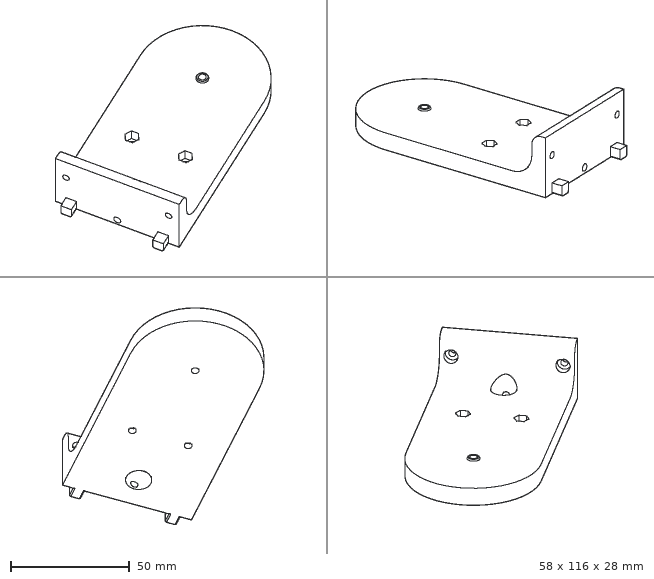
import cadquery as cq

width = 58.0
total_length = 116.0
height = 28.0
base_thickness = 8.0
wall_thickness = 7.0
inner_radius = 10.0
top_radius = 5.0

peg_size = 5.0
peg_inset = 5.0
peg_overlap = 1.2
peg_chamfer = 0.6

small_hole = 3.0
screw_hole = 3.2
cable_hole = 11.0
cable_hole_setback = 14.0
mount_inset = 5.0
mount_height = 18.0
mount_recess = 6.0
mount_recess_depth = 3.0
cable_entry_height = 2.8

nut_across_corners = 6.5
nut_depth = 5.0
nut_setback = 40.0
nut_offset = 12.5

ring_base_diameter = 5.5
ring_top_diameter = 4.8
ring_height = 0.7

body_length = total_length - peg_size
round_radius = width / 2
round_center_y = body_length - round_radius
mount_offset = width / 2 - mount_inset
peg_offset = width / 2 - peg_inset - peg_size / 2


def make_base():
    straight = cq.Workplane("XY").rect(width, round_center_y).extrude(base_thickness)
    straight = straight.translate((0, round_center_y / 2, 0))
    round_end = cq.Workplane("XY").center(0, round_center_y).circle(round_radius).extrude(base_thickness)
    return straight.union(round_end)


def make_wall():
    """Wall profile in the YZ plane with a rounded top and a concave foot."""
    foot_y = wall_thickness + inner_radius
    profile = (
        cq.Workplane("YZ", origin=(-width / 2, 0, 0))
        .lineTo(0, height)
        .lineTo(wall_thickness - top_radius, height)
        .radiusArc((wall_thickness, height - top_radius), top_radius)
        .lineTo(wall_thickness, base_thickness + inner_radius)
        .radiusArc((foot_y, base_thickness), -inner_radius)
        .lineTo(foot_y, 0)
        .close()
    )
    return profile.extrude(width)


def make_peg(x):
    peg_length = peg_size + peg_overlap
    peg = cq.Workplane("XY").box(peg_size, peg_length, peg_size, centered=(True, False, False))
    peg = peg.faces("<Z").edges("|Y").chamfer(peg_chamfer)
    return peg.translate((x, -peg_size, 0))


def vertical_cylinder(x, y, diameter, bottom, length):
    return cq.Workplane("XY", origin=(x, y, bottom)).circle(diameter / 2).extrude(length)


def inward_cylinder(x, z, diameter, start_y, length):
    """Cylinder along +Y, starting at start_y."""
    return cq.Workplane("XZ", origin=(x, start_y, z)).circle(diameter / 2).extrude(-length)


def make_nut_pocket(x):
    pocket = cq.Workplane("XY", origin=(x, nut_setback, base_thickness - nut_depth))
    return pocket.polygon(6, nut_across_corners).extrude(nut_depth)


def make_ring():
    """Cone frustum standing on the plate."""
    base = cq.Workplane("XY", origin=(0, round_center_y, base_thickness)).circle(ring_base_diameter / 2)
    return base.workplane(offset=ring_height).circle(ring_top_diameter / 2).loft()


result = make_base().union(make_wall())
result = result.union(make_ring())
result = result.cut(vertical_cylinder(0, round_center_y, screw_hole, 0, height))

for side in (-1, 1):
    result = result.union(make_peg(side * peg_offset))

    nut_x = side * nut_offset
    result = result.cut(vertical_cylinder(nut_x, nut_setback, screw_hole, 0, height))
    result = result.cut(make_nut_pocket(nut_x))

    mount_x = side * mount_offset
    recess_start = wall_thickness - mount_recess_depth
    result = result.cut(inward_cylinder(mount_x, mount_height, small_hole, 0, body_length))
    result = result.cut(inward_cylinder(mount_x, mount_height, mount_recess, recess_start, body_length))

result = result.cut(vertical_cylinder(0, cable_hole_setback, cable_hole, 0, height))
result = result.cut(inward_cylinder(0, cable_entry_height, screw_hole, 0, cable_hole_setback))